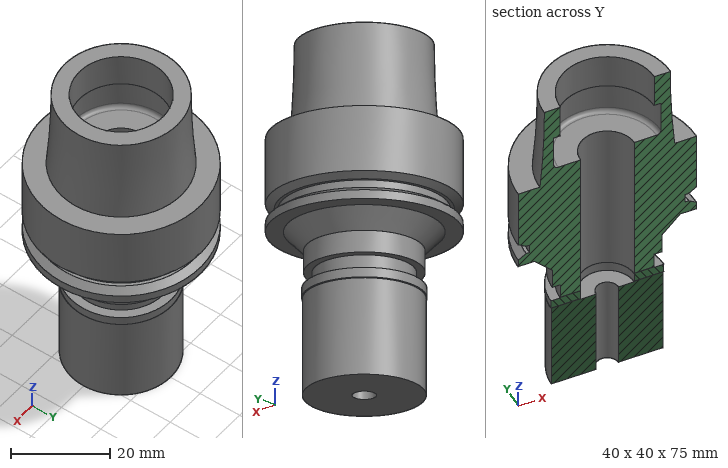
import cadquery as cq

SLEEVE_TOP = 20.7
COLLAR_TOP = 22.9
NECK_TOP = 26.3
SHOULDER_BOTTOM = 31.0
FLANGE_BOTTOM = 35.0
FLANGE_TOP = 55.0
TOTAL_HEIGHT = 75.0

SHANK_TOP_RADIUS = 14.2
SHANK_BASE_RADIUS = 15.15
FLANGE_RADIUS = 20.0
SHOULDER_RADIUS = 12.3
NECK_RADIUS = 10.6
COLLAR_RADIUS = 12.7
SLEEVE_RADIUS = 12.5

GROOVE_RADIUS = 17.5
GROOVE_BOTTOM = 38.0
GROOVE_TOP = 39.9
GROOVE_LIP_RADIUS = 18.2
GROOVE_FLARE = 1.1

MOUTH_RADIUS = 10.5
MOUTH_DEPTH = 7.95
UNDERCUT_RADIUS = 12.0
UNDERCUT_FLOOR_DEPTH = 16.2
UNDERCUT_FILLET = 1.0
CENTRE_BORE_RADIUS = 6.0
COOLANT_HOLE_RADIUS = 2.5

COLLAR_CHAMFER = COLLAR_RADIUS - SLEEVE_RADIUS


def cylinder(radius, bottom, top):
    """Solid cylinder on the Z axis between two heights."""
    return cq.Workplane("XY").workplane(offset=bottom).circle(radius).extrude(top - bottom)


def make_holder():
    """Flanged holder with a flared hollow shank and a stepped neck."""
    shoulder_run = FLANGE_BOTTOM - SHOULDER_BOTTOM
    shank_length = TOTAL_HEIGHT - FLANGE_TOP
    shank_flare = SHANK_BASE_RADIUS - SHANK_TOP_RADIUS
    flare_radius = (shank_length**2 + shank_flare**2) / (2 * shank_flare)
    outer = (
        cq.Workplane("XZ")
        .moveTo(0, COLLAR_TOP)
        .lineTo(0, TOTAL_HEIGHT)
        .lineTo(SHANK_TOP_RADIUS, TOTAL_HEIGHT)
        .radiusArc((SHANK_BASE_RADIUS, FLANGE_TOP), -flare_radius)
        .lineTo(FLANGE_RADIUS, FLANGE_TOP)
        .lineTo(FLANGE_RADIUS, GROOVE_TOP + GROOVE_FLARE)
        .lineTo(GROOVE_LIP_RADIUS, GROOVE_TOP)
        .lineTo(GROOVE_RADIUS, GROOVE_TOP)
        .lineTo(GROOVE_RADIUS, GROOVE_BOTTOM)
        .lineTo(GROOVE_LIP_RADIUS, GROOVE_BOTTOM)
        .lineTo(FLANGE_RADIUS, GROOVE_BOTTOM - GROOVE_FLARE)
        .lineTo(FLANGE_RADIUS, FLANGE_BOTTOM)
        .lineTo(SHOULDER_RADIUS + shoulder_run, FLANGE_BOTTOM)
        .lineTo(SHOULDER_RADIUS, SHOULDER_BOTTOM)
        .lineTo(SHOULDER_RADIUS, NECK_TOP)
        .lineTo(NECK_RADIUS, NECK_TOP)
        .lineTo(NECK_RADIUS, COLLAR_TOP)
        .close()
        .revolve(360, (0, 0, 0), (0, 1, 0))
    )
    mouth_bottom = TOTAL_HEIGHT - MOUTH_DEPTH
    undercut_floor = TOTAL_HEIGHT - UNDERCUT_FLOOR_DEPTH
    mouth = cylinder(MOUTH_RADIUS, mouth_bottom, TOTAL_HEIGHT)
    undercut = cylinder(UNDERCUT_RADIUS, undercut_floor, mouth_bottom)
    undercut = undercut.faces("<Z").edges().fillet(UNDERCUT_FILLET)
    centre_bore = cylinder(CENTRE_BORE_RADIUS, COLLAR_TOP, undercut_floor)
    return outer.cut(mouth).cut(undercut).cut(centre_bore)


def make_collar():
    """Ring between the neck and the sleeve, chamfered around its lower rim."""
    ring = cylinder(COLLAR_RADIUS, SLEEVE_TOP, COLLAR_TOP).faces("<Z").chamfer(COLLAR_CHAMFER)
    return ring.cut(cylinder(CENTRE_BORE_RADIUS, SLEEVE_TOP, COLLAR_TOP))


def make_sleeve():
    """Plain lower cylinder with the narrow coolant hole through it."""
    return cylinder(SLEEVE_RADIUS, 0, SLEEVE_TOP).cut(cylinder(COOLANT_HOLE_RADIUS, 0, SLEEVE_TOP))


holder = make_holder()
collar = make_collar()
sleeve = make_sleeve()

result = cq.Compound.makeCompound([holder.val(), collar.val(), sleeve.val()])